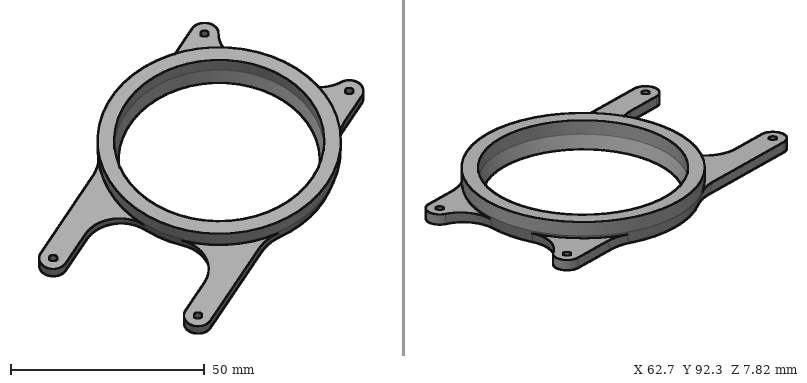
import cadquery as cq
import math

RIM_OUTER_RADIUS = 31.37
RIM_INNER_RADIUS = 27.1
SKIRT_OUTER_RADIUS = 30.3
SKIRT_INNER_RADIUS = 25.9
SKIRT_HEIGHT = 3.8
TOTAL_HEIGHT = 7.82

LEG_THICKNESS = 3.0
TIP_RADIUS = 3.65
TOTAL_LENGTH = 92.28
HOLE_DIAMETER = 2.1
HOLE_SPACING_X = 42.0
HOLE_SPACING_Y = TOTAL_LENGTH - 2 * TIP_RADIUS

PATTERN_CENTER_X = -0.7
PATTERN_CENTER_Y = -8.7

OUTER_FILLET_RADIUS = 13.0
INNER_FILLET_RADIUS = 10.0
FILLET_OVERLAP = 0.001


def turned_body(bottom_radius, top_radius):
    """Cone up to the skirt height, then a cylinder up to the full height."""
    return (
        cq.Workplane("XZ")
        .lineTo(bottom_radius, 0)
        .lineTo(top_radius, SKIRT_HEIGHT)
        .lineTo(top_radius, TOTAL_HEIGHT)
        .lineTo(0, TOTAL_HEIGHT)
        .close()
        .revolve(360, (0, 0), (0, 1))
    )


def skirt_radius_at(z):
    """Outer radius of the skirt at height z, less the fillet overlap."""
    growth = RIM_OUTER_RADIUS - SKIRT_OUTER_RADIUS
    return SKIRT_OUTER_RADIUS + growth * z / SKIRT_HEIGHT - FILLET_OVERLAP


def toward(start, end, distance):
    """Point at the given distance from start on the line to end."""
    length = math.dist(start, end)
    return tuple(a + (b - a) * distance / length for a, b in zip(start, end))


def arc_middle(center, radius, start, end):
    """Middle of the shorter arc from start to end."""
    chord_middle = tuple((a + b) / 2 for a, b in zip(start, end))
    return toward(center, chord_middle, radius)


def fillet_beside_flat(flat_x, side, radius, ring_radius):
    """Center of a fillet touching the ring and a flat; side is +1 outward, -1 inward."""
    center_x = flat_x + side * radius
    return center_x, math.sqrt((ring_radius + radius) ** 2 - center_x**2)


def fillet_beside_tip(tip, radius, ring_radius):
    """Center of an inward fillet touching both the ring and the round leg tip."""
    tip_distance = math.hypot(*tip)
    from_ring = ring_radius + radius
    from_tip = TIP_RADIUS + radius
    cosine = (tip_distance**2 + from_ring**2 - from_tip**2) / (2 * tip_distance * from_ring)
    angle = math.atan2(tip[1], tip[0]) + math.acos(cosine)
    return from_ring * math.cos(angle), from_ring * math.sin(angle)


def leg_outline(hole, z):
    """Closed outline of one leg at height z, blended into the skirt on both sides."""
    side_x = math.copysign(1, hole[0])
    side_y = math.copysign(1, hole[1])
    tip = (abs(hole[0]), abs(hole[1]))
    ring_radius = skirt_radius_at(z)
    ring_center = (0, 0)

    def place(point):
        return cq.Vector(side_x * point[0], side_y * point[1], z)

    def line(start, end):
        return cq.Edge.makeLine(place(start), place(end))

    def arc(start, middle, end):
        return cq.Edge.makeThreePointArc(place(start), place(middle), place(end))

    outer_x = tip[0] + TIP_RADIUS
    outer_center = fillet_beside_flat(outer_x, 1, OUTER_FILLET_RADIUS, ring_radius)
    outer_root = toward(ring_center, outer_center, ring_radius)
    outer_flat = (outer_x, outer_center[1])
    outer_tip = (outer_x, tip[1])

    inner_x = tip[0] - TIP_RADIUS
    inner_center = fillet_beside_flat(inner_x, -1, INNER_FILLET_RADIUS, ring_radius)
    has_inner_flat = inner_center[1] < tip[1]
    if has_inner_flat:
        inner_tip = (inner_x, tip[1])
        inner_flat = (inner_x, inner_center[1])
    else:
        inner_center = fillet_beside_tip(tip, INNER_FILLET_RADIUS, ring_radius)
        inner_tip = toward(tip, inner_center, TIP_RADIUS)
        inner_flat = inner_tip
    inner_root = toward(ring_center, inner_center, ring_radius)

    outer_middle = arc_middle(outer_center, OUTER_FILLET_RADIUS, outer_root, outer_flat)
    inner_middle = arc_middle(inner_center, INNER_FILLET_RADIUS, inner_flat, inner_root)
    edges = [
        arc(outer_root, outer_middle, outer_flat),
        line(outer_flat, outer_tip),
        arc(outer_tip, (tip[0], tip[1] + TIP_RADIUS), inner_tip),
        arc(inner_flat, inner_middle, inner_root),
        line(inner_root, outer_root),
    ]
    if has_inner_flat:
        edges.insert(3, line(inner_tip, inner_flat))
    return cq.Wire.assembleEdges(edges)


def leg(hole):
    """Leg whose root follows the slope of the skirt from bottom to top."""
    outlines = [leg_outline(hole, z) for z in (0, LEG_THICKNESS)]
    return cq.Workplane(cq.Solid.makeLoft(outlines, True))


hole_centers = [
    (PATTERN_CENTER_X + i * HOLE_SPACING_X / 2, PATTERN_CENTER_Y + j * HOLE_SPACING_Y / 2)
    for i in (-1, 1)
    for j in (-1, 1)
]

body = turned_body(SKIRT_OUTER_RADIUS, RIM_OUTER_RADIUS)
for hole_center in hole_centers:
    body = body.union(leg(hole_center))

bore = turned_body(SKIRT_INNER_RADIUS, RIM_INNER_RADIUS)
screw_holes = (
    cq.Workplane("XY").pushPoints(hole_centers).circle(HOLE_DIAMETER / 2).extrude(LEG_THICKNESS)
)
result = body.cut(bore).cut(screw_holes)